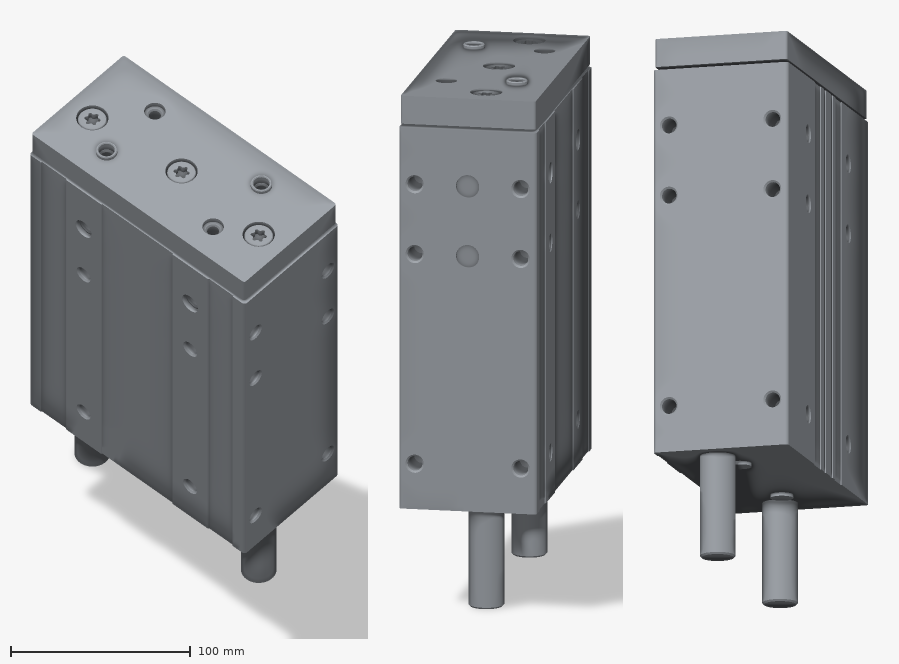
import cadquery as cq
import math

housing_width = 162.0
housing_depth = 78.1
housing_height = 218.2
housing_corner_radius = 2.0
groove_depth = 0.65
side_groove_slope_width = 0.8
center_groove_half_width = 26.7
side_groove_inner_x = 53.0
side_groove_outer_x = 72.0
back_rib_half_width = 5.0
back_rail_inner_x = 9.0
back_rail_outer_x = 14.5

plate_width = 160.0
plate_depth = 76.5
plate_thickness = 16.0
plate_gap = 1.9
plate_corner_radius = 1.5
plate_bottom = housing_height + plate_gap
plate_top = plate_bottom + plate_thickness

guide_x = 62.5
guide_y = -7.0
guide_diameter = 20.0
guide_overhang = 57.8
guide_chamfer = 1.0
piston_rod_y = -2.0
piston_rod_diameter = 15.0
piston_rod_insertion = 40.0

head_diameter = 16.0
head_height = 8.0
head_chamfer = 0.5
head_recess = 1.0
head_counterbore_diameter = 18.0
screw_diameter = 10.4
socket_tip_radius = 4.6
socket_root_radius = 3.3
socket_depth = 4.0
socket_lobes = 6
counterbore_floor = plate_top - head_recess - head_height

pattern_x = 40.0
plate_pattern_y = 20.0
sleeve_diameter = 12.0
sleeve_bore = 9.0
sleeve_chamfer = 0.5
sleeve_recess_depth = 3.0
sleeve_projection = 2.38
plate_thread_core = 6.65
plate_thread_mouth = 8.4

hole_rows = [26.0, 146.0, 186.0]
upper_row = hole_rows[-1]
through_hole_diameter = 8.4
hole_mouth_diameter = 10.4
front_recess_depth = 3.0
side_hole_y = 30.0
side_thread_core = 8.38
side_hole_depth = 20.0
drill_point_angle = 118.0
port_rows = hole_rows[1:]
port_diameter = 13.16
port_recess_depth = 2.0

foot_x = 41.7
foot_diameter = 12.8
foot_height = 2.0


def cylinder(x, y, bottom, top, diameter):
    return cq.Workplane("XY", origin=(x, y, bottom)).circle(diameter / 2).extrude(top - bottom)


def cone(start, direction, start_diameter, end_diameter):
    """Cone with 45 degree walls, running from its wide end to its narrow end."""
    length = (start_diameter - end_diameter) / 2
    return cq.Workplane(
        cq.Solid.makeCone(start_diameter / 2, end_diameter / 2, length, cq.Vector(*start), cq.Vector(*direction))
    )


def groove(x_min, x_max, face_y):
    """Full-height shallow groove in the front or back face of the housing."""
    return (
        cq.Workplane("XY")
        .center((x_min + x_max) / 2, face_y)
        .rect(x_max - x_min, 2 * groove_depth)
        .extrude(housing_height)
    )


def front_side_groove(side):
    """Shallow groove near an edge of the front face, with a sloped wall on its inner side."""
    front_y = -housing_depth / 2
    floor_y = front_y + groove_depth
    return (
        cq.Workplane("XY")
        .moveTo(side * side_groove_outer_x, front_y)
        .lineTo(side * side_groove_outer_x, floor_y)
        .lineTo(side * (side_groove_inner_x + side_groove_slope_width), floor_y)
        .lineTo(side * side_groove_inner_x, front_y)
        .close()
        .extrude(housing_height)
    )


def cross_hole(x, z):
    """Hole along Y through the housing, with a chamfered mouth on both faces."""
    front_y = -housing_depth / 2
    hole = cq.Workplane("XZ", origin=(x, -front_y, z)).circle(through_hole_diameter / 2).extrude(housing_depth)
    for side in (-1, 1):
        mouth_y = side * (housing_depth / 2)
        hole = hole.union(cone((x, mouth_y, z), (0, -side, 0), hole_mouth_diameter, through_hole_diameter))
    return hole


def front_recess(x, z):
    """Locating recess for a sleeve around a cross hole in the front face, with a chamfered floor edge."""
    floor_y = -housing_depth / 2 + front_recess_depth
    recess = cq.Workplane("XZ", origin=(x, floor_y, z)).circle(sleeve_diameter / 2).extrude(front_recess_depth)
    return recess.union(cone((x, floor_y, z), (0, 1, 0), hole_mouth_diameter, through_hole_diameter))


def side_hole(side, y, z):
    """Blind tapped hole with a drill point, entering from the left (-1) or right (+1) face."""
    core_radius = side_thread_core / 2
    mouth_radius = hole_mouth_diameter / 2
    point_length = core_radius / math.tan(math.radians(drill_point_angle / 2))
    hole = (
        cq.Workplane("XZ")
        .lineTo(0, mouth_radius)
        .lineTo(mouth_radius - core_radius, core_radius)
        .lineTo(side_hole_depth, core_radius)
        .lineTo(side_hole_depth + point_length, 0)
        .close()
        .revolve(360, (0, 0, 0), (1, 0, 0))
    )
    if side > 0:
        hole = hole.rotate((0, 0, 0), (0, 0, 1), 180)
    return hole.translate((side * housing_width / 2, y, z))


def make_housing():
    body = (
        cq.Workplane("XY")
        .rect(housing_width, housing_depth)
        .extrude(housing_height)
        .edges("|Z")
        .fillet(housing_corner_radius)
    )
    front_y = -housing_depth / 2
    back_y = housing_depth / 2

    body = body.cut(groove(-center_groove_half_width, center_groove_half_width, front_y))
    for side in (-1, 1):
        rib_edges = sorted([side * back_rib_half_width, side * back_rail_inner_x])
        rail_edges = sorted([side * back_rail_outer_x, side * center_groove_half_width])
        body = body.cut(front_side_groove(side))
        body = body.cut(groove(*rib_edges, back_y))
        body = body.cut(groove(*rail_edges, back_y))

    for side in (-1, 1):
        for z in hole_rows:
            body = body.cut(cross_hole(side * pattern_x, z))
            for y in (-side_hole_y, side_hole_y):
                body = body.cut(side_hole(side, y, z))
        body = body.cut(front_recess(side * pattern_x, upper_row))

    for z in port_rows:
        port = (
            cq.Workplane("YZ", origin=(-housing_width / 2, 0, z))
            .circle(port_diameter / 2)
            .extrude(port_recess_depth)
        )
        body = body.cut(port)

    for side in (-1, 1):
        body = body.union(cylinder(side * foot_x, 0, -foot_height, 0, foot_diameter))

    for side in (-1, 1):
        body = body.cut(cylinder(side * guide_x, guide_y, 0, housing_height, guide_diameter))
    piston_rod_end = housing_height - piston_rod_insertion
    return body.cut(cylinder(0, piston_rod_y, piston_rod_end, housing_height, piston_rod_diameter))


def make_plate():
    body = (
        cq.Workplane("XY", origin=(0, 0, plate_bottom))
        .rect(plate_width, plate_depth)
        .extrude(plate_thickness)
        .edges("|Z")
        .fillet(plate_corner_radius)
    )

    for x, y in [(-guide_x, guide_y), (0, piston_rod_y), (guide_x, guide_y)]:
        body = body.cut(cylinder(x, y, plate_bottom, plate_top, screw_diameter))
        body = body.cut(cylinder(x, y, counterbore_floor, plate_top, head_counterbore_diameter))

    recess_floor = plate_top - sleeve_recess_depth
    for x in (-pattern_x, pattern_x):
        for y in (-plate_pattern_y, plate_pattern_y):
            body = body.cut(cylinder(x, y, plate_bottom, plate_top, plate_thread_core))
            body = body.cut(cylinder(x, y, recess_floor, plate_top, sleeve_diameter))
            body = body.cut(cone((x, y, recess_floor), (0, 0, -1), plate_thread_mouth, plate_thread_core))
    return body


def star_socket(x, y, top):
    """Six-lobed socket: a round lobe at each tip and a hollow arc between neighbouring lobes."""
    flank_radius = (socket_tip_radius + socket_root_radius) / 2
    half_lobe = math.pi / (2 * socket_lobes)

    def polar(radius, angle):
        return (radius * math.cos(angle), radius * math.sin(angle))

    first_tip = math.pi / 2
    outline = cq.Workplane("XY", origin=(x, y, top - socket_depth))
    outline = outline.moveTo(*polar(flank_radius, first_tip - half_lobe))
    for lobe in range(socket_lobes):
        tip = first_tip + 4 * half_lobe * lobe
        root = tip + 2 * half_lobe
        outline = outline.threePointArc(polar(socket_tip_radius, tip), polar(flank_radius, tip + half_lobe))
        outline = outline.threePointArc(polar(socket_root_radius, root), polar(flank_radius, root + half_lobe))
    return outline.close().extrude(socket_depth)


def rod_screw(x, y):
    """Screw shank and socket head that clamp a rod to the plate."""
    head_top = counterbore_floor + head_height
    head = cylinder(x, y, counterbore_floor, head_top, head_diameter).faces(">Z").edges().chamfer(head_chamfer)
    head = head.cut(star_socket(x, y, head_top))
    return head.union(cylinder(x, y, plate_bottom, counterbore_floor, screw_diameter))


def make_guide_rod(x):
    rod = cylinder(x, guide_y, -guide_overhang, plate_bottom, guide_diameter)
    rod = rod.faces("<Z").edges().chamfer(guide_chamfer)
    return rod.union(rod_screw(x, guide_y))


def make_piston_rod():
    rod_end = housing_height - piston_rod_insertion
    rod = cylinder(0, piston_rod_y, rod_end, plate_bottom, piston_rod_diameter)
    return rod.union(rod_screw(0, piston_rod_y))


def make_sleeve(x, y):
    bottom = plate_top - sleeve_recess_depth
    top = plate_top + sleeve_projection
    ring = cylinder(x, y, bottom, top, sleeve_diameter).cut(cylinder(x, y, bottom, top, sleeve_bore))
    return ring.faces(">Z").edges().chamfer(sleeve_chamfer)


housing = make_housing()
plate = make_plate()
piston_rod = make_piston_rod()
guide_rods = [make_guide_rod(side * guide_x) for side in (-1, 1)]
sleeves = [make_sleeve(side * pattern_x, side * plate_pattern_y) for side in (-1, 1)]

result = cq.Compound.makeCompound(
    [body.val() for body in [housing, plate, piston_rod, *guide_rods, *sleeves]]
)